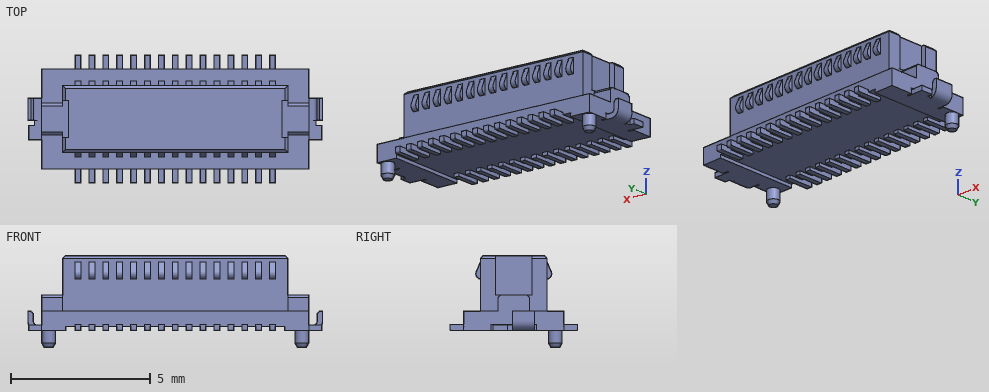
import cadquery as cq

base_length = 9.6
base_width = 3.6
base_height = 0.7
underside_recess_length = 7.87
underside_recess_depth = 0.14

body_length = 8.1
body_width = 2.4
body_top = 2.69
body_chamfer = 0.1

rib_width = 1.13
rib_top = 1.28
rib_chamfer = 0.1
end_recess_width = 1.31
end_recess_depth = 0.21

contact_count = 15
contact_row_length = 7.0
contact_pitch = contact_row_length / (contact_count - 1)
contact_width = 0.21
lead_span = 4.6
lead_height = 0.22
lead_tip_fillet = 0.04
bump_reach = 0.17
bump_nose_setback = 0.01
bump_bottom = 1.84
bump_nose_bottom = 2.05
bump_nose_top = 2.1
bump_top = 2.47
bump_embed = 0.11

tab_span = 10.6
tab_thickness = 0.2
tab_half_width = 0.75
tab_bend_inner_radius = 0.13
tab_top = base_height
tab_top_chamfer = 0.1
upright_inner_y = -0.05
foot_inner_y = -0.23
neck_setback = 0.23
foot_setback = 0.03
slot_width = 1.63
slot_height = 0.22
slot_depth = 0.21
tab_embed = 0.11

peg_diameter = 0.5
peg_length = 0.6
peg_chamfer_height = 0.16
peg_chamfer_inset = 0.08
peg_y = 1.49


def block(x_range, y_range, z_range):
    """Box spanning the given coordinate ranges."""
    x_min, x_max = x_range
    y_min, y_max = y_range
    z_min, z_max = z_range
    box = cq.Workplane("XY").box(x_max - x_min, y_max - y_min, z_max - z_min, centered=False)
    return box.translate((x_min, y_min, z_min))


def centered_block(length, width, z_min, z_max):
    """Box centred on the Z axis between two heights."""
    return block((-length / 2, length / 2), (-width / 2, width / 2), (z_min, z_max))


def make_base():
    base = centered_block(base_length, base_width, 0, base_height)
    recess = centered_block(underside_recess_length, base_width, 0, underside_recess_depth)
    base = base.cut(recess)
    for side in (-1, 1):
        slot = cq.Workplane("XY").box(slot_depth, slot_width, slot_height)
        slot_x = side * (base_length - slot_depth) / 2
        base = base.cut(slot.translate((slot_x, 0, slot_height / 2)))
    return base


def make_body():
    body = centered_block(body_length, body_width, 0, body_top - base_height)
    body = body.translate((0, 0, base_height)).faces(">Z").edges().chamfer(body_chamfer)
    for side in (-1, 1):
        recess = cq.Workplane("XY").box(end_recess_depth, end_recess_width, body_top - rib_top)
        recess_x = side * (body_length - end_recess_depth) / 2
        body = body.cut(recess.translate((recess_x, 0, (body_top + rib_top) / 2)))
    rib = centered_block(base_length, rib_width, base_height, rib_top)
    rib = rib.faces(">Z").edges("|X").chamfer(rib_chamfer)
    return body.union(rib)


def make_contact():
    """Lead and bump on the -Y side, centred on X = 0."""
    half_width = contact_width / 2
    wall_y = -body_width / 2
    lead = block((-half_width, half_width), (-lead_span / 2, wall_y), (0, lead_height))
    lead = lead.faces("<Y").edges("<Z").fillet(lead_tip_fillet)

    nose_y = wall_y - bump_reach
    nose_radius = bump_nose_bottom - bump_bottom
    inner_y = wall_y + bump_embed
    bump = (
        cq.Workplane("YZ")
        .moveTo(wall_y, bump_top)
        .lineTo(nose_y + bump_nose_setback, bump_nose_top)
        .lineTo(nose_y, bump_nose_bottom)
        .radiusArc((nose_y + nose_radius, bump_bottom), -nose_radius)
        .lineTo(inner_y, bump_bottom)
        .lineTo(inner_y, bump_top)
        .close()
        .extrude(half_width, both=True)
    )
    return lead.union(bump)


def make_tab():
    """Hold-down tab at the +X end: a bent upright beside a flat foot."""
    outer_x = tab_span / 2
    upright_x = outer_x - tab_thickness
    outer_radius = tab_bend_inner_radius + tab_thickness
    root_x = base_length / 2 - slot_depth - tab_embed
    neck_x = outer_x - neck_setback
    foot_x = outer_x - foot_setback

    upright = (
        cq.Workplane("XZ")
        .moveTo(root_x, 0)
        .lineTo(outer_x - outer_radius, 0)
        .radiusArc((outer_x, outer_radius), -outer_radius)
        .lineTo(outer_x, tab_top)
        .lineTo(upright_x + tab_top_chamfer, tab_top)
        .lineTo(upright_x, tab_top - tab_top_chamfer)
        .lineTo(upright_x, outer_radius)
        .radiusArc((upright_x - tab_bend_inner_radius, tab_thickness), tab_bend_inner_radius)
        .lineTo(root_x, tab_thickness)
        .close()
        .extrude(-(tab_half_width - upright_inner_y))
        .translate((0, upright_inner_y, 0))
    )
    neck = block((root_x, neck_x), (foot_inner_y, upright_inner_y), (0, tab_thickness))
    foot = block((root_x, foot_x), (-tab_half_width, foot_inner_y), (0, tab_thickness))
    return upright.union(neck).union(foot)


def make_peg():
    """Locating peg at the +X end, with a conical lead-in at its tip."""
    radius = peg_diameter / 2
    peg = (
        cq.Workplane("XY")
        .circle(radius)
        .extrude(-peg_length)
        .faces("<Z")
        .chamfer(peg_chamfer_height, peg_chamfer_inset)
    )
    return peg.translate((base_length / 2 - radius, peg_y, 0))


result = make_base().union(make_body())

front_contact = make_contact()
rear_contact = front_contact.mirror("XZ")
for index in range(contact_count):
    contact_x = index * contact_pitch - contact_row_length / 2
    for contact in (front_contact, rear_contact):
        result = result.union(contact.translate((contact_x, 0, 0)))

for end_part in (make_tab(), make_peg()):
    result = result.union(end_part).union(end_part.mirror("YZ"))